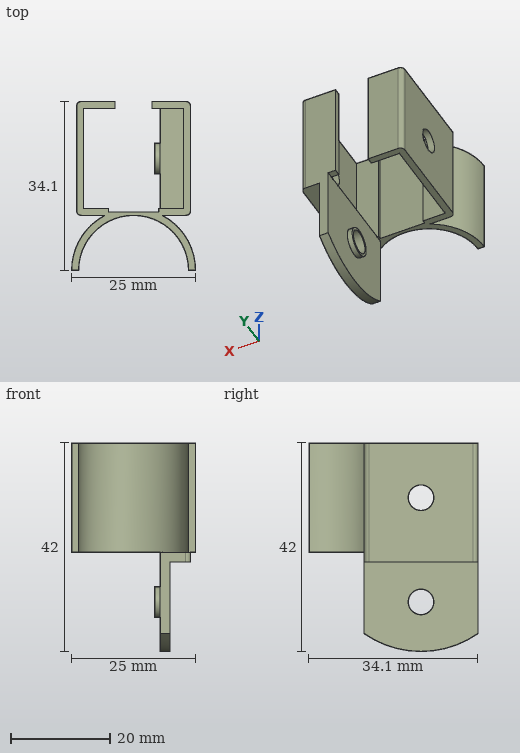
import cadquery as cq
import math

BOX_SIDE = 23.0
BOX_HEIGHT = 22.0
WALL = 1.45
CORNER_RADIUS = 1.0
BACK_SLOT_WIDTH = 7.4
RELIEF_WIDTH = 10.1
RELIEF_FLOOR_THICKNESS = 0.75

CLIP_OUTER_RADIUS = 12.5
CLIP_INNER_RADIUS = CLIP_OUTER_RADIUS - WALL

TAB_THICKNESS = 2.0
TAB_LENGTH = 20.0
TAB_INNER_X = 5.35
TAB_END_RADIUS = 20.0
BOSS_DIAMETER = 6.2
BOSS_LENGTH = 1.1

HOLE_DIAMETER = 5.1
TAB_HOLE_FROM_END = 10.0

half_side = BOX_SIDE / 2
center_y = half_side
box_hole_z = BOX_HEIGHT / 2
tab_hole_z = TAB_HOLE_FROM_END - TAB_LENGTH


def block(x_min, x_max, y_min, y_max, z_min, z_max):
    """Box given by its limits along each axis."""
    size = (x_max - x_min, y_max - y_min, z_max - z_min)
    return cq.Workplane("XY").box(*size, centered=False).translate((x_min, y_min, z_min))


def cylinder_along_x(diameter, x_min, x_max, y, z):
    """Cylinder parallel to X between two X positions."""
    return (
        cq.Workplane("YZ", origin=(x_min, y, z))
        .circle(diameter / 2)
        .extrude(x_max - x_min)
    )


def make_channel():
    """Square tube with rounded outer corners, slotted along its back wall."""
    outer = block(-half_side, half_side, 0, BOX_SIDE, 0, BOX_HEIGHT).edges("|Z").fillet(CORNER_RADIUS)
    inner_half = half_side - WALL
    cavity = block(-inner_half, inner_half, WALL, BOX_SIDE - WALL, 0, BOX_HEIGHT)
    half_slot = BACK_SLOT_WIDTH / 2
    slot = block(-half_slot, half_slot, center_y, BOX_SIDE, 0, BOX_HEIGHT)
    return outer.cut(cavity).cut(slot)


def make_clip():
    """Half ring opening toward -Y."""
    ring = (
        cq.Workplane("XY", origin=(0, -CLIP_INNER_RADIUS, 0))
        .circle(CLIP_OUTER_RADIUS)
        .circle(CLIP_INNER_RADIUS)
        .extrude(BOX_HEIGHT)
    )
    front_half = block(
        -CLIP_OUTER_RADIUS, CLIP_OUTER_RADIUS,
        -CLIP_INNER_RADIUS, CLIP_OUTER_RADIUS,
        0, BOX_HEIGHT,
    )
    return ring.intersect(front_half)


def make_relief():
    """Groove that thins the front wall where the clip joins it."""
    half_relief = RELIEF_WIDTH / 2
    return block(-half_relief, half_relief, RELIEF_FLOOR_THICKNESS, center_y, 0, BOX_HEIGHT)


def make_tab():
    """Flange under the +X wall, bent down into a plate with an arched end and a boss."""
    flange = (
        block(TAB_INNER_X, half_side, 0, BOX_SIDE, -TAB_THICKNESS, 0)
        .edges("|Z and >X")
        .fillet(CORNER_RADIUS)
    )
    arch_rise = TAB_END_RADIUS - math.sqrt(TAB_END_RADIUS**2 - half_side**2)
    arch_start_z = arch_rise - TAB_LENGTH
    plate = (
        cq.Workplane("YZ", origin=(TAB_INNER_X, 0, 0))
        .moveTo(0, 0)
        .lineTo(0, arch_start_z)
        .threePointArc((center_y, -TAB_LENGTH), (BOX_SIDE, arch_start_z))
        .lineTo(BOX_SIDE, 0)
        .close()
        .extrude(TAB_THICKNESS)
    )
    boss = cylinder_along_x(BOSS_DIAMETER, TAB_INNER_X - BOSS_LENGTH, TAB_INNER_X, center_y, tab_hole_z)
    return flange.union(plate).union(boss)


result = make_channel().union(make_clip()).cut(make_relief()).union(make_tab())
for hole_z in (box_hole_z, tab_hole_z):
    result = result.cut(cylinder_along_x(HOLE_DIAMETER, -half_side, half_side, center_y, hole_z))